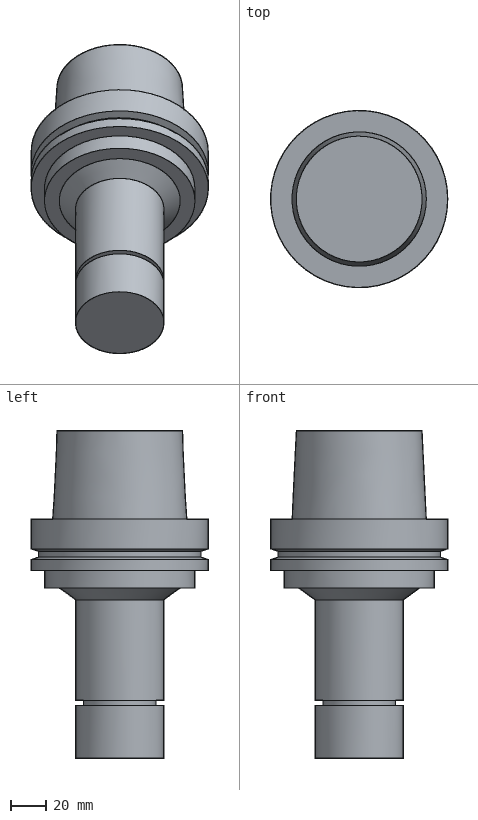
import cadquery as cq

overall_length = 185.0
head_length = 30.0
neck_length = 2.8
cone_top_z = 96.2
cone_height = 6.7
collar_height = 9.8
taper_length = 50.0

shank_diameter = 50.0
neck_diameter = 41.0
cone_diameter = 68.3
collar_diameter = 85.0
flange_diameter = 100.0
groove_diameter = 92.0
taper_base_diameter = 75.8
taper_top_diameter = 71.0

groove_depth_below_face = 19.8
groove_mouth_width = 6.1
groove_floor_width = 3.3

neck_top_z = head_length + neck_length
cone_bottom_z = cone_top_z - cone_height
flange_bottom_z = cone_top_z + collar_height
flange_top_z = overall_length - taper_length
groove_z = flange_top_z - groove_depth_below_face


def cylinder(diameter, bottom_z, top_z):
    """Upright cylinder on the Z axis."""
    return cq.Workplane("XY").workplane(offset=bottom_z).circle(diameter / 2).extrude(top_z - bottom_z)


def truncated_cone(bottom_diameter, top_diameter, bottom_z, top_z):
    """Upright truncated cone on the Z axis."""
    height = top_z - bottom_z
    cone = cq.Solid.makeCone(bottom_diameter / 2, top_diameter / 2, height, pnt=cq.Vector(0, 0, bottom_z))
    return cq.Workplane(obj=cone)


def make_flange():
    """Gripper flange with a flat-floored V-groove, revolved from its half section."""
    outer_radius = flange_diameter / 2
    floor_radius = groove_diameter / 2
    return (
        cq.Workplane("XZ")
        .moveTo(0, flange_bottom_z)
        .lineTo(outer_radius, flange_bottom_z)
        .lineTo(outer_radius, groove_z - groove_mouth_width / 2)
        .lineTo(floor_radius, groove_z - groove_floor_width / 2)
        .lineTo(floor_radius, groove_z + groove_floor_width / 2)
        .lineTo(outer_radius, groove_z + groove_mouth_width / 2)
        .lineTo(outer_radius, flange_top_z)
        .lineTo(0, flange_top_z)
        .close()
        .revolve(360, (0, 0, 0), (0, 1, 0))
    )


def make_holder():
    """Tool holder: neck, shank, cone, collar, flange and spindle taper."""
    neck = cylinder(neck_diameter, head_length, neck_top_z)
    shank = cylinder(shank_diameter, neck_top_z, cone_bottom_z)
    cone = truncated_cone(shank_diameter, cone_diameter, cone_bottom_z, cone_top_z)
    collar = cylinder(collar_diameter, cone_top_z, flange_bottom_z)
    taper = truncated_cone(taper_base_diameter, taper_top_diameter, flange_top_z, overall_length)
    return neck.union(shank).union(cone).union(collar).union(make_flange()).union(taper)


def make_head():
    """Plain cylindrical head seated against the holder's neck."""
    return cylinder(shank_diameter, 0, head_length)


holder = make_holder()
head = make_head()

result = cq.Compound.makeCompound([holder.solids().val(), head.val()])